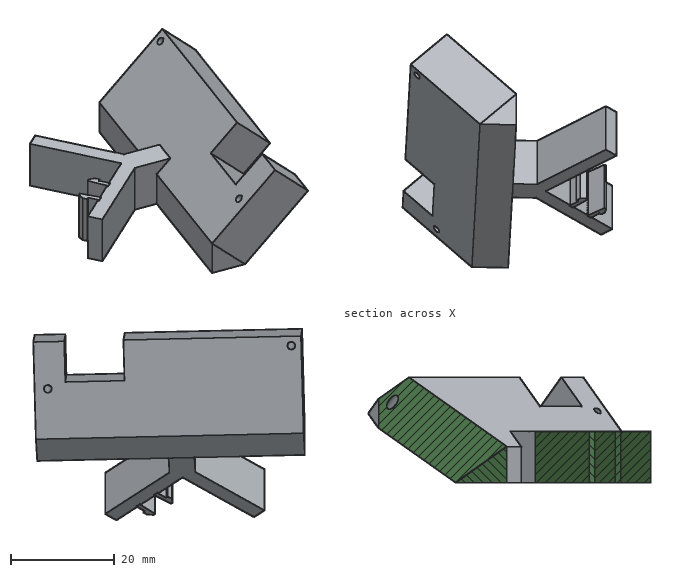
import cadquery as cq
import math


bracket_height = 10.0
arm_length = 18.9
arm_thickness = 3.0
stem_width = 5.0

slab_length = 52.0
slab_thickness = 10.0
slab_height = 19.1
slab_tilt = 45.0
slab_start = -24.0
notch_start = 34.5
notch_width = 11.5
notch_depth = 8.0
hole_diameter = 1.5
hole_places = [(1.9, 1.85), (49.4, 9.25)]

wedge_front = 6.4
wedge_depth = slab_thickness * math.sin(math.radians(slab_tilt))
wedge_height = slab_thickness * math.cos(math.radians(slab_tilt))

stem_reach = wedge_front + (bracket_height - wedge_height) * math.tan(math.radians(slab_tilt))

clip_pair_center = -10.0
clip_embed = 0.25
clip_tip = 4.1
hook_back = 2.1
hook_front = 3.05
clip_root_inner = 2.0
clip_tip_inner = 2.25
clip_tip_outer = 2.8
clip_shank_outer = 3.0
hook_outer = 3.5

STEM_TURN = -45.0


def turn_to_stem(body):
    return body.rotate((0, 0, 0), (0, 0, 1), STEM_TURN)


def make_slab():
    slab = cq.Workplane("XY").box(slab_length, slab_thickness, slab_height, centered=False)
    notch = (
        cq.Workplane("XY")
        .box(notch_width, slab_thickness, notch_depth, centered=False)
        .translate((notch_start, 0, slab_height - notch_depth))
    )
    slab = slab.cut(notch)
    for along, down in hole_places:
        hole = (
            cq.Workplane("XZ")
            .center(along, slab_height - down)
            .circle(hole_diameter / 2)
            .extrude(-slab_thickness)
        )
        slab = slab.cut(hole)
    slab = slab.rotate((0, 0, 0), (1, 0, 0), -slab_tilt)
    return turn_to_stem(slab.translate((slab_start, wedge_front, wedge_height)))


def make_wedge():
    wedge = (
        cq.Workplane("YZ")
        .polyline([(0, 0), (wedge_depth, 0), (0, wedge_height)])
        .close()
        .extrude(slab_length)
    )
    return turn_to_stem(wedge.translate((slab_start, wedge_front, 0)))


def make_clip(side):
    profile = [
        (clip_embed, clip_root_inner),
        (-clip_tip, clip_tip_inner),
        (-clip_tip, clip_tip_outer),
        (-hook_front, hook_outer),
        (-hook_back, hook_outer),
        (-hook_back, clip_shank_outer),
        (clip_embed, clip_shank_outer),
    ]
    points = [(x, clip_pair_center + side * offset) for x, offset in profile]
    return cq.Workplane("XY").polyline(points).close().extrude(bracket_height)


def make_bracket(neighbours):
    arms = (
        cq.Workplane("XY")
        .polyline([
            (0, 0),
            (-arm_length, 0),
            (-arm_length, arm_thickness),
            (arm_thickness, arm_thickness),
            (arm_thickness, -arm_length),
            (0, -arm_length),
        ])
        .close()
        .extrude(bracket_height)
    )
    stem_start = arm_thickness * math.sqrt(2) - stem_width / 2
    stem = (
        cq.Workplane("XY")
        .box(stem_width, stem_reach - stem_start, bracket_height, centered=(True, False, False))
        .translate((0, stem_start, 0))
    )
    bracket = arms.union(turn_to_stem(stem))
    for neighbour in neighbours:
        bracket = bracket.cut(neighbour)
    return bracket


slab = make_slab()
wedge = make_wedge()
clips = [make_clip(side) for side in (1, -1)]
bracket = make_bracket([slab, wedge, *clips])

result = cq.Compound.makeCompound([
    slab.val(),
    wedge.val(),
    bracket.val(),
    *[clip.val() for clip in clips],
])